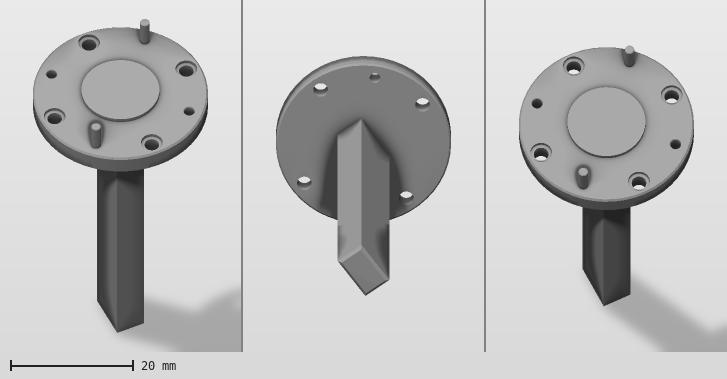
import cadquery as cq
import math

total_height = 59.75
flange_diameter = 28.55
flange_thickness = 3.45
flange_chamfer = 0.3
boss_diameter = 12.7
boss_height = 0.7

body_width = 7.7
body_depth = 4.85
body_end_chamfer = 0.5

pitch_radius = 11.9
bolt_hole_diameter = 2.4
counterbore_diameter = 3.5
counterbore_depth = 0.6
pin_diameter = 1.55
pin_protrusion = 4.55
pin_tip_chamfer = 0.1
alignment_hole_diameter = 1.75
hole_chamfer = 0.1

body_length = total_height - pin_protrusion - flange_thickness
diagonal_angle = 45


def pitch_points(first_angle, count):
    """Evenly spaced points on the pitch circle, starting at first_angle degrees."""
    angles = [math.radians(first_angle + i * 360 / count) for i in range(count)]
    return [(pitch_radius * math.cos(a), pitch_radius * math.sin(a)) for a in angles]


bolt_points = pitch_points(0, 4)
alignment_points = pitch_points(diagonal_angle, 2)
pin_points = pitch_points(180 - diagonal_angle, 2)


def make_housing():
    """Flange, raised boss and waveguide body in one piece."""
    flange = (
        cq.Workplane("XY")
        .circle(flange_diameter / 2)
        .extrude(-flange_thickness)
        .edges()
        .chamfer(flange_chamfer)
    )
    boss = cq.Workplane("XY").circle(boss_diameter / 2).extrude(boss_height)
    body = (
        cq.Workplane("XY", origin=(0, 0, -flange_thickness))
        .rect(body_width, body_depth)
        .extrude(-body_length)
        .faces("<Z")
        .edges()
        .chamfer(body_end_chamfer)
    )
    return cut_flange_holes(flange.union(boss).union(body))


def cut_flange_holes(housing):
    """Counterbored bolt holes, open alignment holes and the seats of the pins."""
    bolt_holes = straight_holes(bolt_points, bolt_hole_diameter, flange_thickness)
    counterbores = straight_holes(bolt_points, counterbore_diameter, counterbore_depth)
    housing = housing.cut(bolt_holes).cut(counterbores)
    housing = housing.cut(chamfered_holes(alignment_points, alignment_hole_diameter))
    return housing.cut(chamfered_holes(pin_points, pin_diameter))


def straight_holes(points, diameter, depth):
    """Cutters for plain round holes going down from the flange face."""
    return cq.Workplane("XY").pushPoints(points).circle(diameter / 2).extrude(-depth)


def chamfered_holes(points, diameter):
    """Cutters for through holes with a small chamfer at the flange face."""
    mouths = (
        cq.Workplane("XY")
        .pushPoints(points)
        .circle(diameter / 2 + hole_chamfer)
        .extrude(-hole_chamfer, taper=45)
    )
    return straight_holes(points, diameter, flange_thickness).union(mouths)


def make_pin(x, y):
    """Alignment pin running through the flange, with a chamfered tip standing proud of it."""
    return (
        cq.Workplane("XY", origin=(x, y, -flange_thickness))
        .circle(pin_diameter / 2)
        .extrude(flange_thickness + pin_protrusion)
        .faces(">Z")
        .edges()
        .chamfer(pin_tip_chamfer)
    )


housing = make_housing()
pins = [make_pin(x, y) for x, y in pin_points]

result = cq.Compound.makeCompound([housing.val(), *[pin.val() for pin in pins]])